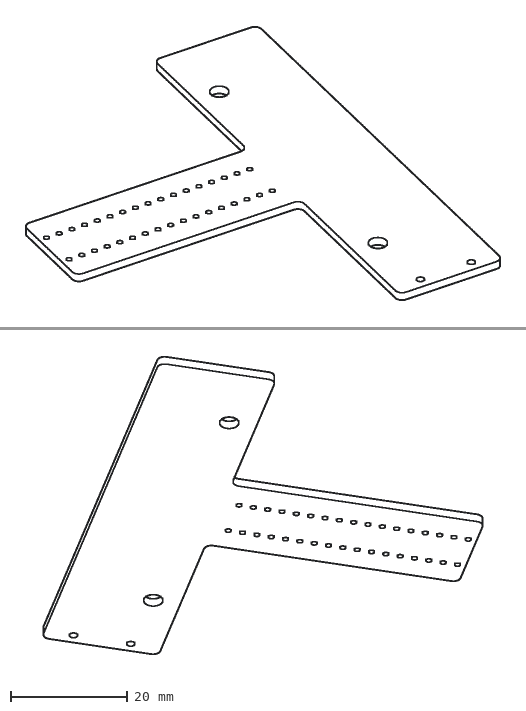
import cadquery as cq

plate_length = 82.55
plate_depth = 65.55
thickness = 1.6
corner_radius = 1.3

bar_depth = 20.7
stem_width = 17.9
stem_center_x = -0.9

pattern_center_x = -0.7

mount_diameter = 3.3
mount_spacing = 53.3
mount_above_bar_edge = 4.8

side_hole_diameter = 1.4
side_hole_spacing = 10.15
side_hole_from_end = 2.1
side_hole_from_back = 5.1

pin_diameter = 1.0
pins_per_row = 17
pin_row_length = 40.6
pin_row_spacing = 7.6
pin_from_stem_end = 1.5

right_x = plate_length / 2
back_y = plate_depth / 2
front_y = -back_y
bar_edge_y = back_y - bar_depth


def make_plate():
    """T-shaped plate with every outside and inside corner rounded."""
    bar = cq.Workplane("XY").box(plate_length, bar_depth, thickness, centered=(True, False, True))
    bar = bar.translate((0, bar_edge_y, 0))
    stem_length = bar_edge_y - front_y
    stem = cq.Workplane("XY").box(
        stem_width, stem_length + bar_depth / 2, thickness, centered=(True, False, True)
    )
    stem = stem.translate((stem_center_x, front_y, 0))
    return bar.union(stem).edges("|Z").fillet(corner_radius)


def drill(plate, points, diameter):
    """Cut round through holes at the given XY points."""
    cutters = cq.Workplane("XY").pushPoints(points).circle(diameter / 2).extrude(thickness, both=True)
    return plate.cut(cutters)


pattern_sides = (-0.5, 0.5)
mount_y = bar_edge_y + mount_above_bar_edge
mount_points = [(pattern_center_x + side * mount_spacing, mount_y) for side in pattern_sides]

side_hole_x = right_x - side_hole_from_end
side_hole_y = back_y - side_hole_from_back
side_points = [(side_hole_x, side_hole_y - i * side_hole_spacing) for i in range(2)]

pin_pitch = pin_row_length / (pins_per_row - 1)
first_pin_y = front_y + pin_from_stem_end
pin_points = [
    (pattern_center_x + side * pin_row_spacing, first_pin_y + i * pin_pitch)
    for side in pattern_sides
    for i in range(pins_per_row)
]

result = make_plate()
result = drill(result, mount_points, mount_diameter)
result = drill(result, side_points, side_hole_diameter)
result = drill(result, pin_points, pin_diameter)